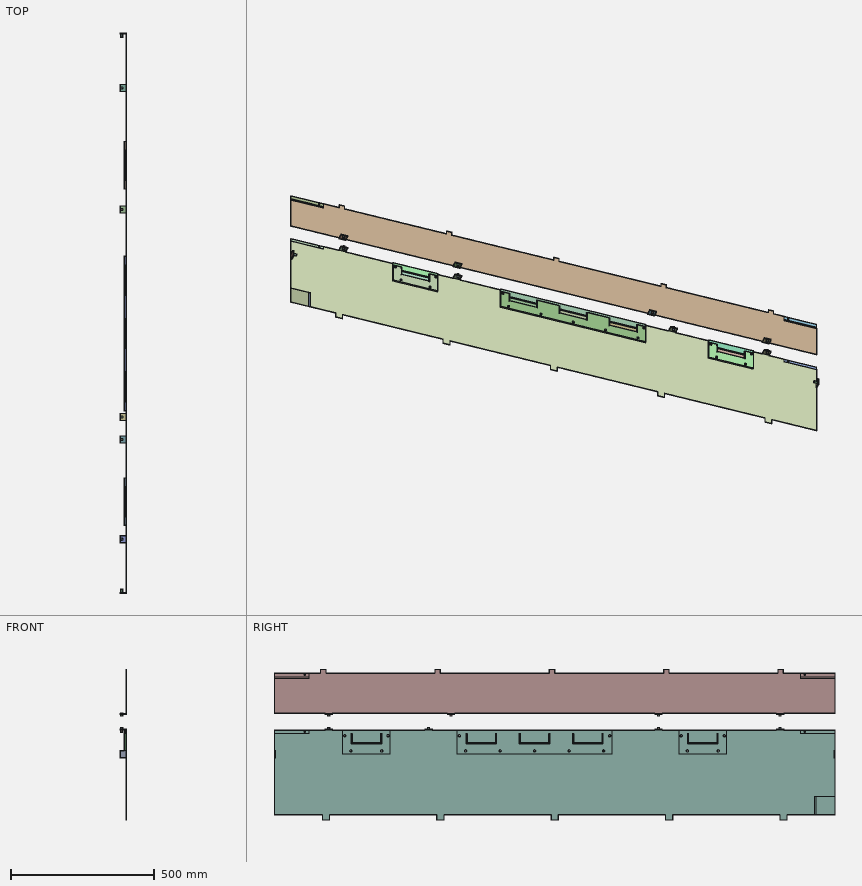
import cadquery as cq

LENGTH = 1958.0
DEPTH = 22.0
SHEET = 2.0
BACK = DEPTH / 2
FACE = BACK - SHEET
FRONT = -DEPTH / 2
Y_END = LENGTH / 2

UPPER_TOP = 250.0
UPPER_BOTTOM = 110.0
LOWER_TOP = 50.0
LOWER_BOTTOM = -245.0

UPPER_TAB_WIDTH = 20.0
LOWER_TAB_WIDTH = 25.0
TAB_PITCH = 400.0
TAB_COUNT = 5
UPPER_TAB_HEIGHT = 12.7
UPPER_TAB_SHIFT = -10.0
LOWER_TAB_HEIGHT = 18.6

LUG_WIDTH = 25.0
LUG_THICKNESS = 4.0
LUG_RISE = LUG_THICKNESS
STUD_DIAMETER = 8.0
STUD_SETBACK = 5.0
STUD_OUTSIDE = 5.0
UPPER_STUD_INSIDE = 1.0
LOWER_STUD_INSIDE = 8.0
UPPER_LUG_PLACES = (787.0, 362.0, -362.0, -790.0)
LOWER_LUG_PLACES = (787.0, 362.0, -440.0, -790.0)
END_LUG_Z = -33.0
END_STUD_INSIDE = 12.0

PAD_RAISE = 5.0
PAD_HEIGHT = 82.0
SHELF_DROP = 12.0
SHELF_RECESS = 2.0
NOTCH_WIDTH = 105.0
NOTCH_DEPTH = 47.0
NOTCH_PITCH = 186.0
SLIT = 3.0
GROOVE_DEPTH = 2.0
GROOVE_HEIGHT = 4.0
GROOVE_DROP = 27.0
SMALL_PAD_WIDTH = 166.0
WIDE_PAD_WIDTH = 540.0
SMALL_PAD_PLACES = (517.0, -658.0)
WIDE_PAD_PLACE = -70.0
PAD_HOLE_DIAMETER = 6.9
CORNER_HOLE_INSET = 8.0
CORNER_HOLE_DROP = 20.0
BASE_HOLE_INSET = 30.0
BASE_HOLE_RISE = 10.0

RECESS_DEPTH = 1.0
STRIP_LENGTH = 121.0
UPPER_STRIP_HEIGHT = 20.0
STRIP_GROOVE = 5.0
LOWER_STRIP_HEIGHT = 12.0
STRIP_HOLE_DIAMETER = 4.0
STRIP_HOLE_INSET = 15.0
STRIP_HOLE_DROP = 5.0
SQUARE_WIDTH = 72.0
SQUARE_HEIGHT = 65.0
SQUARE_GROOVE = 5.0
GROOVED_DEPTH = 1.5


def block(x_range, y_range, z_range):
    """Box between the two given limits along each axis."""
    sizes = [limits[1] - limits[0] for limits in (x_range, y_range, z_range)]
    corner = (x_range[0], y_range[0], z_range[0])
    return cq.Workplane("XY").box(*sizes, centered=False).translate(corner)


def centred(middle, size):
    """Limits of a span of the given size about its middle."""
    return (middle - size / 2, middle + size / 2)


def through_holes(points, diameter):
    """Round cutters along X through the whole depth, at (y, z) points."""
    return cq.Workplane("YZ", origin=(FRONT, 0, 0)).pushPoints(points).circle(diameter / 2).extrude(DEPTH)


def sheet(bottom, top):
    return block((FACE, BACK), (-Y_END, Y_END), (bottom, top))


def tab_places(shift):
    first = shift - TAB_PITCH * (TAB_COUNT - 1) / 2
    return [first + TAB_PITCH * index for index in range(TAB_COUNT)]


def add_tabs(panel, places, width, z_range):
    for y in places:
        panel = panel.union(block((FACE, BACK), centred(y, width), z_range))
    return panel


def lug(stud_inside, stud_outside):
    """Lug at the origin: flange on the XY plane below Z = 0, outside toward +Z."""
    flange = block((FRONT, BACK), centred(0, LUG_WIDTH), (-LUG_THICKNESS, 0))
    stud = (
        cq.Workplane("XY", origin=(FRONT + STUD_SETBACK, 0, -LUG_THICKNESS - stud_inside))
        .circle(STUD_DIAMETER / 2)
        .extrude(stud_inside + LUG_THICKNESS + stud_outside)
    )
    return flange.union(stud)


def turned(shape, angle):
    return shape.rotate((0, 0, 0), (1, 0, 0), angle)


def pad(middle, width, notch_places, base_hole_places):
    """Solid pad and the cutters that go through the pad and the sheet behind it."""
    pad_front = FACE - PAD_RAISE
    shelf_front = (pad_front, pad_front + SHELF_RECESS)
    bottom = LOWER_TOP - PAD_HEIGHT
    notch_bottom = LOWER_TOP - NOTCH_DEPTH
    body = block((pad_front, FACE), centred(middle, width), (bottom, LOWER_TOP))
    body = body.cut(block(shelf_front, centred(middle, width), (LOWER_TOP - SHELF_DROP, LOWER_TOP)))

    slit_depth = (pad_front, BACK)
    corner_y = width / 2 - CORNER_HOLE_INSET
    holes = [(middle + y, LOWER_TOP - CORNER_HOLE_DROP) for y in (-corner_y, corner_y)]
    holes += [(middle + y, bottom + BASE_HOLE_RISE) for y in base_hole_places]
    cutters = through_holes(holes, PAD_HOLE_DIAMETER)
    for offset in notch_places:
        y = middle + offset
        notch_z = (notch_bottom, LOWER_TOP - SHELF_DROP)
        body = body.cut(block(shelf_front, centred(y, NOTCH_WIDTH), notch_z))
        groove_x = (shelf_front[1], shelf_front[1] + GROOVE_DEPTH)
        groove_z = centred(LOWER_TOP - GROOVE_DROP, GROOVE_HEIGHT)
        body = body.cut(block(groove_x, centred(y, NOTCH_WIDTH), groove_z))
        slit_loop = block(slit_depth, centred(y, NOTCH_WIDTH), notch_z)
        tongue_z = (notch_bottom + SLIT, LOWER_TOP)
        tongue = block(slit_depth, centred(y, NOTCH_WIDTH - 2 * SLIT), tongue_z)
        cutters = cutters.union(slit_loop.cut(tongue))
    return body, cutters


def cut_top_strips(panel, top, height):
    """Recess both top corners, with a small hole near the inner end of each strip."""
    for side in (-1, 1):
        middle = side * (Y_END - STRIP_LENGTH / 2)
        strip = block((FACE, FACE + RECESS_DEPTH), centred(middle, STRIP_LENGTH), (top - height, top))
        hole_y = side * (Y_END - STRIP_LENGTH + STRIP_HOLE_INSET)
        hole = through_holes([(hole_y, top - STRIP_HOLE_DROP)], STRIP_HOLE_DIAMETER)
        panel = panel.cut(strip).cut(hole)
    return panel


def cut_strip_grooves(panel):
    """Deepen the lower side of both top strips of the upper panel."""
    groove_bottom = UPPER_TOP - UPPER_STRIP_HEIGHT
    groove_z = (groove_bottom, groove_bottom + STRIP_GROOVE)
    for side in (-1, 1):
        middle = side * (Y_END - STRIP_LENGTH / 2)
        panel = panel.cut(block((FACE, FACE + GROOVED_DEPTH), centred(middle, STRIP_LENGTH), groove_z))
    return panel


def cut_corner_square(panel):
    """Square recess in the bottom corner at +Y, with a groove along its inner side."""
    inner = Y_END - SQUARE_WIDTH
    z_range = (LOWER_BOTTOM, LOWER_BOTTOM + SQUARE_HEIGHT)
    square = block((FACE, FACE + RECESS_DEPTH), (inner, Y_END), z_range)
    groove = block((FACE, FACE + GROOVED_DEPTH), (inner, inner + SQUARE_GROOVE), z_range)
    return panel.cut(square).cut(groove)


def make_upper_panel():
    panel = sheet(UPPER_BOTTOM, UPPER_TOP)
    tab_z = (UPPER_TOP, UPPER_TOP + UPPER_TAB_HEIGHT)
    panel = add_tabs(panel, tab_places(UPPER_TAB_SHIFT), UPPER_TAB_WIDTH, tab_z)
    bottom_lug = turned(lug(UPPER_STUD_INSIDE, STUD_OUTSIDE), 180)
    for y in UPPER_LUG_PLACES:
        panel = panel.union(bottom_lug.translate((0, y, UPPER_BOTTOM - LUG_RISE)))
    panel = cut_top_strips(panel, UPPER_TOP, UPPER_STRIP_HEIGHT)
    return cut_strip_grooves(panel)


def make_lower_panel():
    panel = sheet(LOWER_BOTTOM, LOWER_TOP)
    tab_z = (LOWER_BOTTOM - LOWER_TAB_HEIGHT, LOWER_BOTTOM)
    panel = add_tabs(panel, tab_places(0), LOWER_TAB_WIDTH, tab_z)
    panel = cut_top_strips(panel, LOWER_TOP, LOWER_STRIP_HEIGHT)
    panel = cut_corner_square(panel)

    small_base = SMALL_PAD_WIDTH / 2 - BASE_HOLE_INSET
    wide_base = WIDE_PAD_WIDTH / 2 - BASE_HOLE_INSET
    wide_holes = [wide_base * step / 2 for step in range(-2, 3)]
    wide_notches = [-NOTCH_PITCH, 0, NOTCH_PITCH]
    pads = [pad(y, SMALL_PAD_WIDTH, [0], [-small_base, small_base]) for y in SMALL_PAD_PLACES]
    pads.append(pad(WIDE_PAD_PLACE, WIDE_PAD_WIDTH, wide_notches, wide_holes))
    for body, cutters in pads:
        panel = panel.union(body).cut(cutters)

    top_lug = lug(LOWER_STUD_INSIDE, STUD_OUTSIDE)
    for y in LOWER_LUG_PLACES:
        panel = panel.union(top_lug.translate((0, y, LOWER_TOP + LUG_RISE)))
    end_lug = lug(END_STUD_INSIDE, 0)
    for side in (-1, 1):
        panel = panel.union(turned(end_lug, -90 * side).translate((0, side * Y_END, END_LUG_Z)))
    return panel


upper_panel = make_upper_panel()
lower_panel = make_lower_panel()

result = cq.Compound.makeCompound([upper_panel.val(), lower_panel.val()])